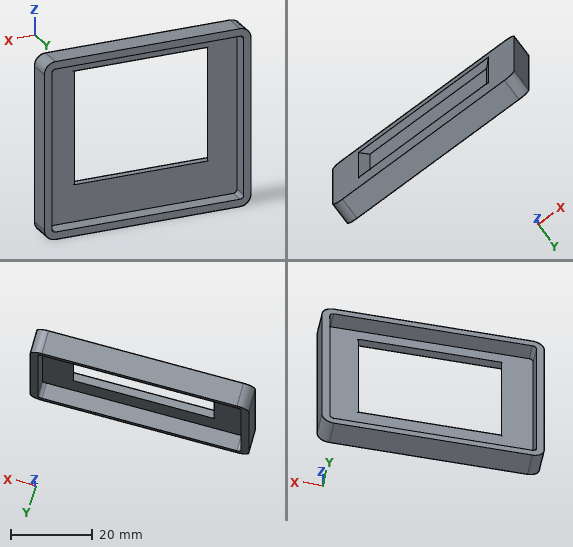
import cadquery as cq

width = 55.8
depth = 6.0
height = 47.65
corner_radius = 3.0

wall = 2.0

window_front_width = 40.0
window_back_width = 35.8
window_height = 30.4
top_margin = 5.35

front_y = -depth / 2
cavity_y = front_y + wall
window_top = height / 2 - top_margin
window_bottom = window_top - window_height


def rounded_block(size_x, size_y, size_z, radius):
    """Centred block with its four edges along Y rounded."""
    return cq.Workplane("XY").box(size_x, size_y, size_z).edges("|Y").fillet(radius)


def make_shell():
    """Rounded plate hollowed from the back, leaving the front face and the rim."""
    plate = rounded_block(width, depth, height, corner_radius)
    cavity = rounded_block(width - 2 * wall, depth, height - 2 * wall, corner_radius - wall)
    return plate.cut(cavity.translate((0, wall, 0)))


def make_window():
    """Opening in the front face with a trapezoid plan and level top and bottom walls."""
    return (
        cq.Workplane("XY", origin=(0, 0, window_bottom))
        .moveTo(-window_front_width / 2, front_y)
        .lineTo(window_front_width / 2, front_y)
        .lineTo(window_back_width / 2, cavity_y)
        .lineTo(-window_back_width / 2, cavity_y)
        .close()
        .extrude(window_height)
    )


result = make_shell().cut(make_window())